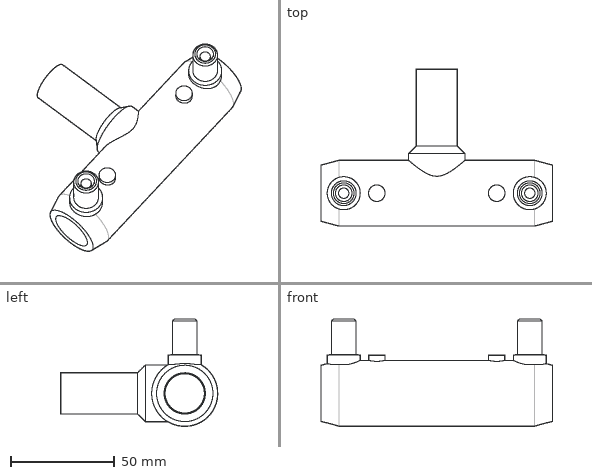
import cadquery as cq
import math

tube_length = 112.0
tube_radius = 16.0
end_taper_length = 8.8
end_taper_angle = 15.0
end_radius = tube_radius - end_taper_length * math.tan(math.radians(end_taper_angle))

socket_radius = 10.0
stop_radius = 9.5
stop_length = 4.0

branch_end = 60.0
branch_radius = 10.0
hub_radius = 13.75
hub_shoulder = 19.1
hub_end = hub_shoulder + (hub_radius - branch_radius)

terminal_offset = 45.0
terminal_top = 36.0
terminal_radius = 6.0
terminal_chamfer = 1.0
collar_radius = 8.0
collar_top = 18.5
collar_slope_angle = 10.0
collar_crown = collar_top + (collar_radius - terminal_radius) * math.tan(math.radians(collar_slope_angle))
cup_radius = 4.0
cup_depth = 10.0
cup_floor = terminal_top - cup_depth
pin_radius = 2.5
pin_recess = 2.5
pin_top = terminal_top - pin_recess

button_offset = 29.0
button_radius = 4.0
button_top = collar_top

root_height = (socket_radius + end_radius) / 2


def make_tube():
    """Solid tube body with tapered ends."""
    half_length = tube_length / 2
    taper_start = half_length - end_taper_length
    profile = (
        cq.Workplane("XY")
        .moveTo(-half_length, 0)
        .lineTo(-half_length, end_radius)
        .lineTo(-taper_start, tube_radius)
        .lineTo(taper_start, tube_radius)
        .lineTo(half_length, end_radius)
        .lineTo(half_length, 0)
        .close()
    )
    return profile.revolve(360, (0, 0, 0), (1, 0, 0))


def make_branch():
    """Solid spigot with a conical shoulder on its wider hub."""
    profile = (
        cq.Workplane("XY")
        .lineTo(hub_radius, 0)
        .lineTo(hub_radius, hub_shoulder)
        .lineTo(branch_radius, hub_end)
        .lineTo(branch_radius, branch_end)
        .lineTo(0, branch_end)
        .close()
    )
    return profile.revolve(360, (0, 0, 0), (0, 1, 0))


def make_terminal(x):
    """Collar with a sloping top, carrying a cup with a contact pin inside."""
    profile = (
        cq.Workplane("XZ")
        .moveTo(0, root_height)
        .lineTo(collar_radius, root_height)
        .lineTo(collar_radius, collar_top)
        .lineTo(terminal_radius, collar_crown)
        .lineTo(terminal_radius, terminal_top - terminal_chamfer)
        .lineTo(terminal_radius - terminal_chamfer, terminal_top)
        .lineTo(cup_radius, terminal_top)
        .lineTo(cup_radius, cup_floor)
        .lineTo(pin_radius, cup_floor)
        .lineTo(pin_radius, pin_top)
        .lineTo(0, pin_top)
        .close()
    )
    return profile.revolve(360, (0, 0, 0), (0, 1, 0)).translate((x, 0, 0))


def make_button(x):
    """Flat-topped round indicator."""
    plane = cq.Workplane("XY", origin=(x, 0, root_height))
    return plane.circle(button_radius).extrude(button_top - root_height)


def make_bore():
    """Cutter for the through bore and both end sockets."""
    socket_length = (tube_length - stop_length) / 2
    left_face = cq.Workplane("YZ", origin=(-tube_length / 2, 0, 0))
    stop_face = cq.Workplane("YZ", origin=(stop_length / 2, 0, 0))
    bore = left_face.circle(stop_radius).extrude(tube_length)
    for face in (left_face, stop_face):
        bore = bore.union(face.circle(socket_radius).extrude(socket_length))
    return bore


body = make_tube().union(make_branch())
for side in (-1, 1):
    body = body.union(make_terminal(side * terminal_offset))
    body = body.union(make_button(side * button_offset))

result = body.cut(make_bore())